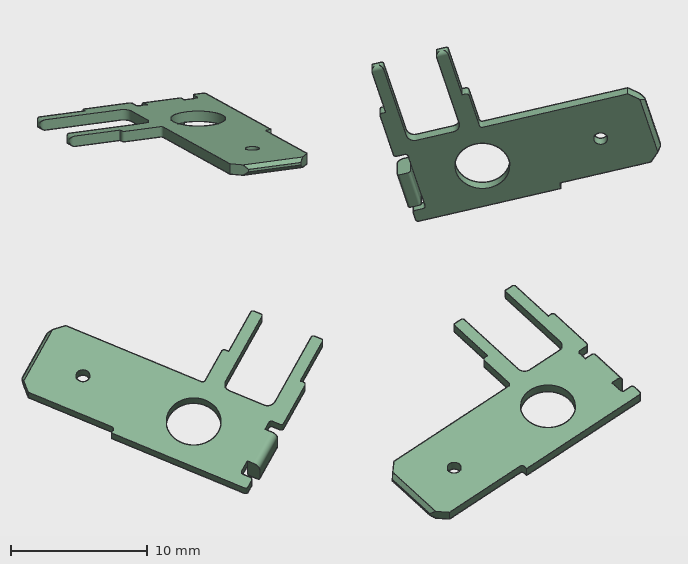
import cadquery as cq

length = 19.0
depth = 14.0
height = 2.0
thickness = 0.8
corner_radius = 0.2

notch_depth = 1.0
notch_start = 1.0
notch_end = 6.0
tab_start = 2.17
tab_length = 3.0
bend_radius = 0.5

blade_root_x = 11.0
blade_back = 0.5
blade_width = 6.3
blade_front = blade_back + blade_width
blade_corner = 1.03
blade_bevel = 0.3

shoulder_width = 6.76
shoulder_y = 10.0
shoulder_step = 0.48
slot_width = 4.0
slot_end_y = 7.0
slot_radius = 0.6
slot_left = (shoulder_width - slot_width) / 2
slot_right = slot_left + slot_width
leg_right = shoulder_width - shoulder_step
leg_tip_radius = 0.3

hole_y = 3.5
large_hole_x = 6.0
large_hole_diameter = 4.0
small_hole_x = 15.0
small_hole_diameter = 1.0


def fillet_uprights(body, points, radius):
    """Round the vertical edges that pass through the given plan points."""
    reach = 0.02
    for x, y in points:
        near_edge = cq.selectors.BoxSelector(
            (x - reach, y - reach, -thickness), (x + reach, y + reach, 0)
        )
        body = body.edges("|Z").edges(near_edge).fillet(radius)
    return body


def make_plate():
    """Flat stamped blank with rounded corners."""
    outline = [
        (0, 0),
        (blade_root_x, 0),
        (blade_root_x, -blade_back),
        (length - blade_corner, -blade_back),
        (length, -blade_back - blade_corner),
        (length, -blade_front + blade_corner),
        (length - blade_corner, -blade_front),
        (shoulder_width, -blade_front),
        (shoulder_width, -shoulder_y),
        (leg_right, -shoulder_y),
        (leg_right, -depth),
        (slot_right, -depth),
        (slot_right, -slot_end_y),
        (slot_left, -slot_end_y),
        (slot_left, -depth),
        (shoulder_step, -depth),
        (shoulder_step, -shoulder_y),
        (0, -shoulder_y),
        (0, -notch_end),
        (notch_depth, -notch_end),
        (notch_depth, -notch_start),
        (0, -notch_start),
    ]
    plate = cq.Workplane("XY").polyline(outline).close().extrude(-thickness)

    small_corners = [
        (0, 0),
        (0, -notch_start),
        (notch_depth, -notch_start),
        (notch_depth, -notch_end),
        (0, -notch_end),
        (0, -shoulder_y),
        (shoulder_width, -shoulder_y),
        (shoulder_width, -blade_front),
        (blade_root_x, -blade_back),
    ]
    slot_corners = [(slot_left, -slot_end_y), (slot_right, -slot_end_y)]
    leg_corners = [(x, -depth) for x in (shoulder_step, slot_left, slot_right, leg_right)]
    plate = fillet_uprights(plate, small_corners, corner_radius)
    plate = fillet_uprights(plate, slot_corners, slot_radius)
    return fillet_uprights(plate, leg_corners, leg_tip_radius)


def shape_tips(plate):
    """Round the leg tips top and bottom and bevel the blade end, by trimming with two slabs."""
    slab = cq.Workplane("XY").box(length, depth, thickness, centered=False)
    slab = slab.translate((0, -depth, -thickness))
    leg_trim = slab.faces("<Y").edges("|X").fillet(leg_tip_radius)
    blade_trim = slab.faces(">X").edges("|Y").chamfer(blade_bevel)
    return plate.intersect(leg_trim).intersect(blade_trim)


def make_tab():
    """Tab reaching below the plate, with a rounded bend and rounded lower edges."""
    tab = cq.Workplane("XY").box(notch_depth, tab_length, height, centered=False)
    tab = tab.translate((0, -tab_start - tab_length, -height))
    tab = tab.edges("|Y and <X and >Z").fillet(bend_radius)
    return tab.faces("<Z").edges("|Y").fillet(corner_radius)


def cut_hole(body, x, diameter):
    """Drill through the plate on the common hole line."""
    drill = cq.Workplane("XY").center(x, -hole_y).circle(diameter / 2).extrude(-thickness)
    return body.cut(drill)


plate = shape_tips(make_plate())
plate = cut_hole(plate, large_hole_x, large_hole_diameter)
plate = cut_hole(plate, small_hole_x, small_hole_diameter)
result = plate.union(make_tab())